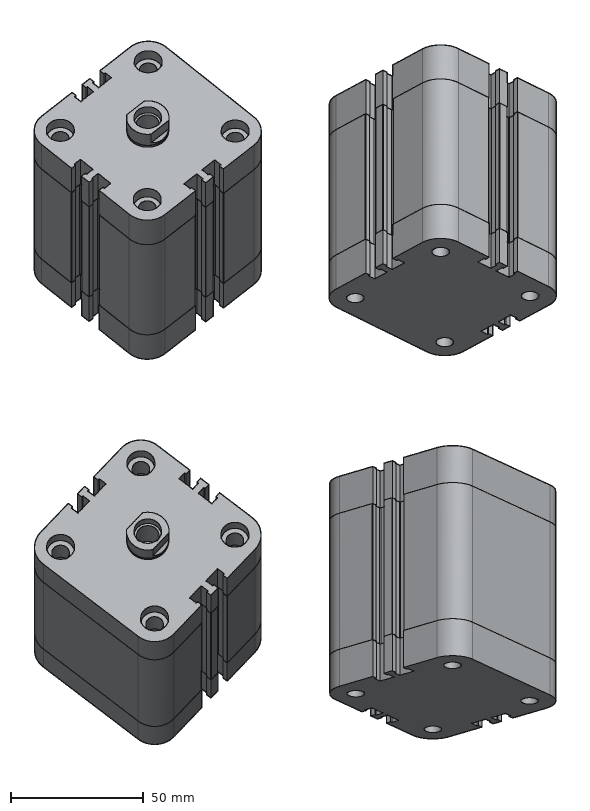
import cadquery as cq
import math

side = 66.0
total_height = 93.0
rod_projection = 8.0
cap_height = 15.0
corner_radius = 9.6
body_height = total_height - rod_projection
barrel_height = body_height - 2 * cap_height

bolt_spacing = 46.5
bolt_hole_diameter = 6.6
bolt_head_diameter = 10.5
bolt_head_depth = 5.0

slot_depth = 5.4
lip_depth = 2.1
mouth_inner_edge = 2.0
mouth_outer_edge = 7.35
pocket_inner_edge = 1.4
pocket_outer_edge = 8.1
barrel_mouth_outer_edge = 7.4
barrel_lip_chamfer = 0.2
barrel_pocket_chamfer = 0.4
slot_face_angles = (0, 90, -90)

rod_diameter = 16.0
rod_neck_diameter = 15.8
neck_projection = 1.1
across_flats = 13.0
flat_length = 5.2
ledge_slope = 30.0
thread_relief_diameter = 10.3
thread_relief_depth = 3.7
thread_diameter = 8.5
thread_depth = 16.7


def bolt_points(workplane):
    """Put one point on each of the four bolt axes."""
    return workplane.rect(bolt_spacing, bolt_spacing, forConstruction=True).vertices()


def t_slot(height, mouth_outer, lip_chamfer, floor_chamfer):
    """One T-slot cutter in the -Y face, on the +X side of the middle."""
    face = -side / 2
    lip = face + lip_depth
    floor = face + slot_depth
    mouth_width = mouth_outer - mouth_inner_edge
    mouth = (
        cq.Workplane("XY")
        .center((mouth_outer + mouth_inner_edge) / 2, (face + lip) / 2)
        .rect(mouth_width, lip_depth)
        .extrude(height)
    )
    pocket = (
        cq.Workplane("XY")
        .center((pocket_outer_edge + pocket_inner_edge) / 2, (lip + floor) / 2)
        .rect(pocket_outer_edge - pocket_inner_edge, slot_depth - lip_depth)
        .extrude(height)
    )
    if floor_chamfer > 0:
        pocket = pocket.faces(">Y").edges("|Z").chamfer(floor_chamfer)
    slot = mouth.union(pocket)
    if lip_chamfer > 0:
        flare = (
            cq.Workplane("XY")
            .moveTo(mouth_inner_edge - lip_chamfer, face)
            .lineTo(mouth_outer + lip_chamfer, face)
            .lineTo(mouth_outer, face + lip_chamfer)
            .lineTo(mouth_inner_edge, face + lip_chamfer)
            .close()
            .extrude(height)
        )
        slot = slot.union(flare)
    return slot


def slotted_block(height, mouth_outer=mouth_outer_edge, lip_chamfer=0.0, floor_chamfer=0.0):
    """Rounded square block on Z = 0 with T-slots on three faces and bolt holes."""
    block = cq.Workplane("XY").rect(side, side).extrude(height).edges("|Z").fillet(corner_radius)
    slot = t_slot(height, mouth_outer, lip_chamfer, floor_chamfer)
    slot_pair = slot.union(slot.mirror("YZ"))
    for angle in slot_face_angles:
        block = block.cut(slot_pair.rotate((0, 0, 0), (0, 0, 1), angle))
    bolt_holes = bolt_points(cq.Workplane("XY")).circle(bolt_hole_diameter / 2).extrude(height)
    return block.cut(bolt_holes)


def make_end_cap():
    return slotted_block(cap_height)


def make_barrel():
    barrel = slotted_block(
        barrel_height, barrel_mouth_outer_edge, barrel_lip_chamfer, barrel_pocket_chamfer
    )
    return barrel.translate((0, 0, cap_height))


def make_front_cap():
    """Cap with bolt head counterbores and a through bore for the rod."""
    head_recesses = (
        bolt_points(cq.Workplane("XY").workplane(offset=cap_height))
        .circle(bolt_head_diameter / 2)
        .extrude(-bolt_head_depth)
    )
    rod_bore = cq.Workplane("XY").circle(rod_neck_diameter / 2).extrude(cap_height)
    cap = slotted_block(cap_height).cut(head_recesses).cut(rod_bore)
    return cap.translate((0, 0, cap_height + barrel_height))


def flat_cutter():
    """Cutter for the flat on the +X side, ending in a ledge that slopes down outwards."""
    flat_x = across_flats / 2
    outside_x = rod_diameter
    flat_bottom = total_height - flat_length
    ledge_drop = (outside_x - flat_x) * math.tan(math.radians(ledge_slope))
    return (
        cq.Workplane("XZ")
        .moveTo(flat_x, total_height)
        .lineTo(flat_x, flat_bottom)
        .lineTo(outside_x, flat_bottom - ledge_drop)
        .lineTo(outside_x, total_height)
        .close()
        .extrude(rod_diameter, both=True)
    )


def make_rod():
    """Rod reaching down through the front cap, with wrench flats and a stepped thread hole."""
    neck_bottom = cap_height + barrel_height
    head_bottom = body_height + neck_projection
    neck = (
        cq.Workplane("XY", origin=(0, 0, neck_bottom))
        .circle(rod_neck_diameter / 2)
        .extrude(head_bottom - neck_bottom)
    )
    head = (
        cq.Workplane("XY", origin=(0, 0, head_bottom))
        .circle(rod_diameter / 2)
        .extrude(total_height - head_bottom)
    )
    cutter = flat_cutter()
    thread_hole = cq.Workplane("XY", origin=(0, 0, total_height))
    relief = thread_hole.circle(thread_relief_diameter / 2).extrude(-thread_relief_depth)
    thread = thread_hole.circle(thread_diameter / 2).extrude(-thread_depth)
    return neck.union(head).cut(cutter).cut(cutter.mirror("YZ")).cut(relief).cut(thread)


end_cap = make_end_cap()
barrel = make_barrel()
front_cap = make_front_cap()
piston_rod = make_rod()

result = cq.Compound.makeCompound(
    [end_cap.val(), barrel.val(), front_cap.val(), piston_rod.val()]
)